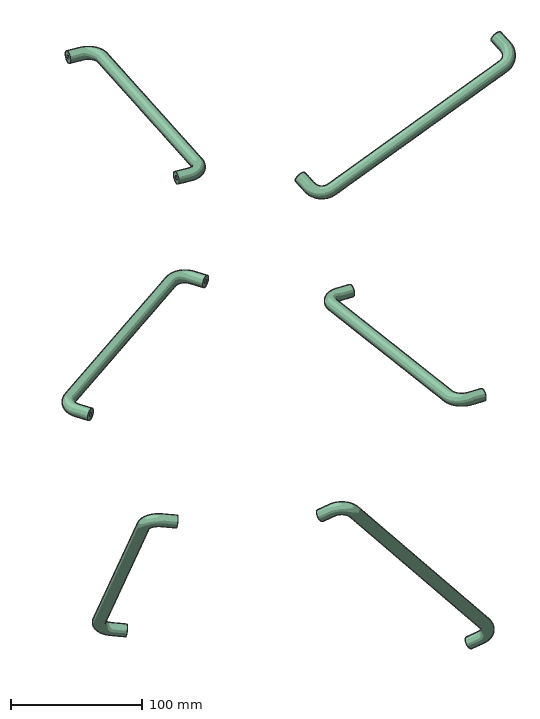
import cadquery as cq
import math

bar_diameter = 10.0
overall_length = 202.0
overall_depth = 28.5
bend_radius = 12.0

hole_diameter = 3.3
hole_depth = 10.0
drill_tip_angle = 118.0

leg_spacing = overall_length - bar_diameter
leg_x = leg_spacing / 2
grip_y = overall_depth - bar_diameter / 2
hole_radius = hole_diameter / 2
drill_tip_length = hole_radius / math.tan(math.radians(drill_tip_angle / 2))


def make_bar():
    """Round bar swept along a U-shaped centreline lying in the XY plane."""
    corners = cq.Workplane("XY").polyline(
        [(-leg_x, 0), (-leg_x, grip_y), (leg_x, grip_y), (leg_x, 0)]
    ).wire().val()
    inner_corners = [v for v in corners.Vertices() if v.Y > grip_y / 2]
    centreline = corners.fillet2D(bend_radius, inner_corners)
    section = cq.Workplane("XZ", origin=(-leg_x, 0, 0)).circle(bar_diameter / 2)
    return section.sweep(cq.Workplane(obj=centreline))


def make_screw_hole(x):
    """Cutter for a drilled hole running in +Y from the leg end at the given X."""
    half_profile = (
        cq.Workplane("XY", origin=(x, 0, 0))
        .lineTo(hole_radius, 0)
        .lineTo(hole_radius, hole_depth)
        .lineTo(0, hole_depth + drill_tip_length)
        .close()
    )
    return half_profile.revolve(360, (0, 0, 0), (0, 1, 0))


result = make_bar()
for x in (-leg_x, leg_x):
    result = result.cut(make_screw_hole(x))